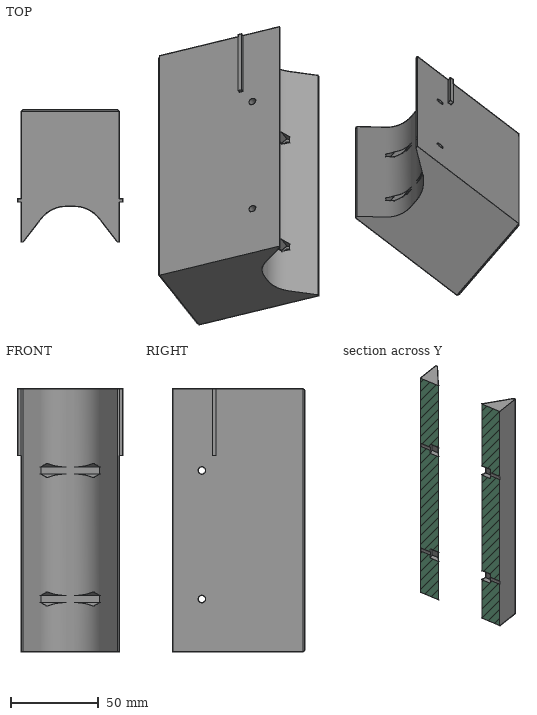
import cadquery as cq
import math

height = 150.5
depth = 75.7
overall_width = 60.0
rib_projection = 2.0
body_width = overall_width - 2 * rib_projection
back_chamfer = 1.0

channel_depth = 20.3
floor_half_width = 2.4
arc_radius = 17.9
tip_width = 1.2
arc_end_x = 16.7

rib_thickness = 2.1
rib_length = 38.4
rib_y = 23.8

hole_diameter = 4.0
hexagon_diameter = 2 * hole_diameter
hexagon_apothem = hexagon_diameter / 2 * math.cos(math.pi / 6)
pocket_end_x = 21.0
hole_y = channel_depth - hexagon_apothem
hole_heights = (30.3, 103.7)


def make_body():
    block = (
        cq.Workplane("XY")
        .box(body_width, depth, height, centered=(True, False, False))
        .faces(">Y")
        .chamfer(back_chamfer)
    )
    return block.cut(make_channel())


def make_channel():
    arc_center_y = channel_depth - arc_radius

    def arc_point(x):
        offset = x - floor_half_width
        return x, arc_center_y + math.sqrt(arc_radius**2 - offset**2)

    end_x, end_y = arc_point(arc_end_x)
    mid_x, mid_y = arc_point((floor_half_width + arc_end_x) / 2)
    mouth_x = body_width / 2 - tip_width
    return (
        cq.Workplane("XY")
        .moveTo(-mouth_x, 0)
        .lineTo(-end_x, end_y)
        .threePointArc((-mid_x, mid_y), (-floor_half_width, channel_depth))
        .lineTo(floor_half_width, channel_depth)
        .threePointArc((mid_x, mid_y), (end_x, end_y))
        .lineTo(mouth_x, 0)
        .close()
        .extrude(height)
    )


def make_ribs():
    return (
        cq.Workplane("XY")
        .box(overall_width, rib_thickness, rib_length, centered=(True, True, False))
        .translate((0, rib_y, height - rib_length))
    )


def make_cross_hole(z):
    return (
        cq.Workplane("YZ")
        .center(hole_y, z)
        .circle(hole_diameter / 2)
        .extrude(body_width / 2, both=True)
    )


def make_nut_pockets(z):
    pocket = (
        cq.Workplane("YZ", origin=(floor_half_width, hole_y, z))
        .transformed(rotate=(0, 0, 90))
        .polygon(6, hexagon_diameter)
        .extrude(pocket_end_x - floor_half_width)
    )
    return pocket.union(pocket.mirror("YZ"))


result = make_body().union(make_ribs())
for hole_z in hole_heights:
    result = result.cut(make_cross_hole(hole_z), clean=False)
    result = result.cut(make_nut_pockets(hole_z), clean=False)